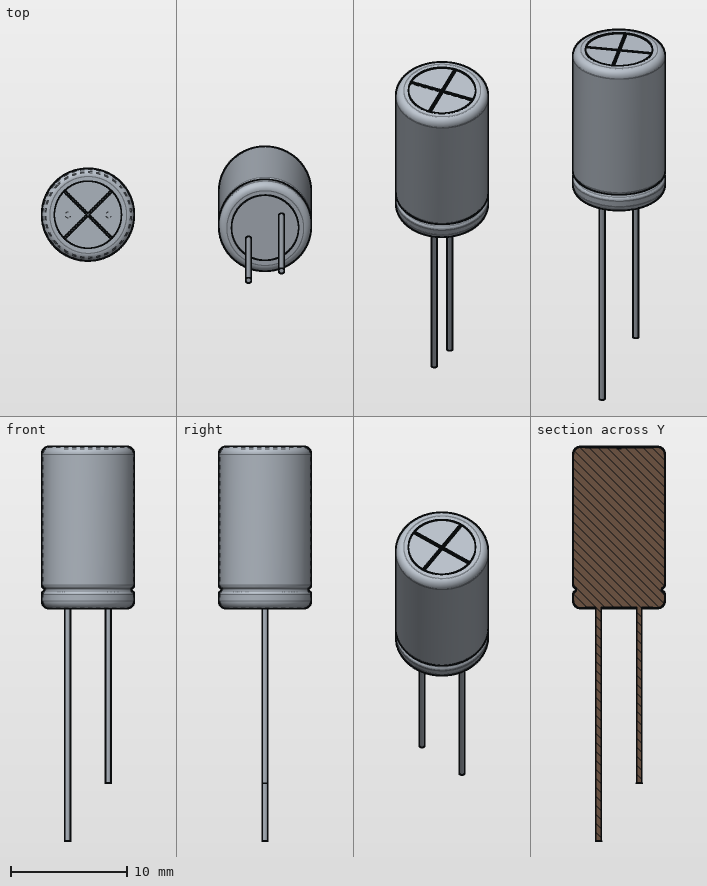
import cadquery as cq
import math


sleeve_diameter = 8.0
sleeve_height = 14.0
sleeve_wall = 0.1
sleeve_edge_radius = 0.69
sleeve_opening_diameter = 5.78

groove_height = 1.65
groove_half_width = 0.41
groove_diameter = 7.48
groove_floor_radius = 0.11

vent_slot_width = 0.17
vent_slot_depth = 0.1
vent_slot_angles = (45, 135)

lead_diameter = 0.5
lead_pitch = 3.5
long_lead_length = 20.0
short_lead_length = 15.0

sleeve_radius = sleeve_diameter / 2
groove_depth = sleeve_radius - groove_diameter / 2
lip_to_floor_centres = (groove_half_width**2 + groove_depth**2) / (2 * groove_depth)
groove_lip_radius = lip_to_floor_centres - groove_floor_radius
groove_wall_angle = math.asin(groove_half_width / lip_to_floor_centres)


def barrel(inset):
    """Solid of the sleeve's outer shape, with its whole surface moved inward by inset."""
    radius = sleeve_radius - inset
    bottom = inset
    top = sleeve_height - inset
    edge = sleeve_edge_radius - inset
    edge_sag = edge * (1 - math.sqrt(0.5))

    lip = groove_lip_radius - inset
    lip_centre = radius - lip
    lip_mid_r = lip_centre + lip * math.cos(groove_wall_angle / 2)
    lip_mid_z = groove_half_width - lip * math.sin(groove_wall_angle / 2)
    lip_end_r = lip_centre + lip * math.cos(groove_wall_angle)
    lip_end_z = groove_half_width - lip * math.sin(groove_wall_angle)
    floor_r = groove_diameter / 2 - inset

    return (
        cq.Workplane("XZ")
        .moveTo(0, bottom)
        .lineTo(radius - edge, bottom)
        .threePointArc((radius - edge_sag, bottom + edge_sag), (radius, bottom + edge))
        .lineTo(radius, groove_height - groove_half_width)
        .threePointArc((lip_mid_r, groove_height - lip_mid_z), (lip_end_r, groove_height - lip_end_z))
        .threePointArc((floor_r, groove_height), (lip_end_r, groove_height + lip_end_z))
        .threePointArc((lip_mid_r, groove_height + lip_mid_z), (radius, groove_height + groove_half_width))
        .lineTo(radius, top - edge)
        .threePointArc((radius - edge_sag, top - edge_sag), (radius - edge, top))
        .lineTo(0, top)
        .close()
        .revolve(360, (0, 0, 0), (0, 1, 0))
    )


def make_sleeve():
    """Thin shell around the can, open in the middle of both ends."""
    end_openings = cq.Workplane("XY").circle(sleeve_opening_diameter / 2).extrude(sleeve_height)
    return barrel(0).cut(barrel(sleeve_wall)).cut(end_openings)


def vent_slot(angle):
    """One bar of the vent cross, as long as the sleeve opening is wide."""
    slot_floor = sleeve_height - sleeve_wall - vent_slot_depth
    return (
        cq.Workplane("XY")
        .workplane(offset=slot_floor)
        .rect(sleeve_opening_diameter, vent_slot_width)
        .extrude(vent_slot_depth)
        .rotate((0, 0, 0), (0, 0, 1), angle)
    )


def lead(x, length):
    """Straight lead from the underside of the can to length below the sleeve."""
    return (
        cq.Workplane("XY", origin=(x, 0, -length))
        .circle(lead_diameter / 2)
        .extrude(length + sleeve_wall)
    )


def make_can():
    """Can filling the sleeve, with the vent cross in its lid and the leads joined underneath."""
    can = barrel(sleeve_wall)
    for angle in vent_slot_angles:
        can = can.cut(vent_slot(angle))
    can = can.union(lead(-lead_pitch / 2, long_lead_length))
    return can.union(lead(lead_pitch / 2, short_lead_length))


sleeve = make_sleeve()
can_with_leads = make_can()

result = cq.Compound.makeCompound([sleeve.solids().val(), can_with_leads.solids().val()])